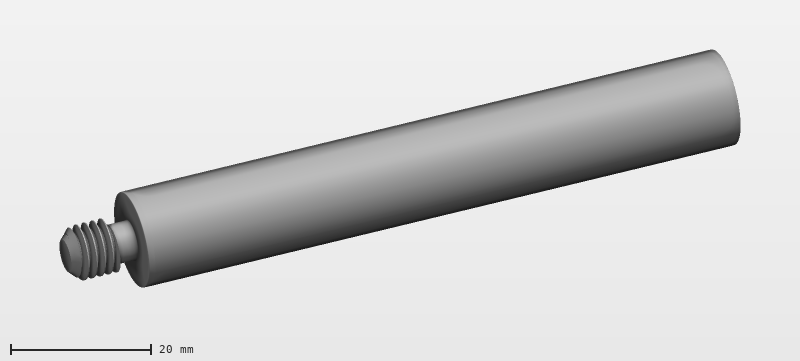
import cadquery as cq
import math

body_diameter = 14.0
body_length = 90.0
blend_length = 1.0
corner_weight = 3

stud_length = 10.0
neck_radius = 2.9
neck_length = 3.1
tip_radius = 2.4

thread_radius = 4.0
thread_pitch = 1.25
root_radius = 2.95
crest_width = thread_pitch / 8
flank_half_angle = 25.0
groove_start = 2.32
groove_turns = 7
cutter_overlap = 0.05


def tight_blend(corner, end):
    """Bezier points, after the start, of a smooth blend that stays close to the corner."""
    return [corner] * corner_weight + [end]


def make_body():
    """Plain round post with tight rims, running from the stud shoulder to +Y."""
    radius = body_diameter / 2
    far_corner = (radius, -body_length)
    near_corner = (radius, 0)
    return (
        cq.Workplane("XZ")
        .moveTo(0, -body_length)
        .lineTo(radius - blend_length, -body_length)
        .bezier(tight_blend(far_corner, (radius, blend_length - body_length)), includeCurrent=True)
        .lineTo(radius, -blend_length)
        .bezier(tight_blend(near_corner, (radius - blend_length, 0)), includeCurrent=True)
        .lineTo(0, 0)
        .close()
        .revolve(360, (0, 0, 0), (0, 1, 0))
    )


def make_stud_blank():
    """Unthreaded stud: blended, undercut neck, full-diameter shank and 45 degree tip chamfer."""
    tip_chamfer = thread_radius - tip_radius
    return (
        cq.Workplane("YZ")
        .lineTo(neck_radius + blend_length, 0)
        .bezier(tight_blend((neck_radius, 0), (neck_radius, blend_length)), includeCurrent=True)
        .lineTo(neck_radius, neck_length)
        .lineTo(thread_radius, neck_length)
        .lineTo(thread_radius, stud_length - tip_chamfer)
        .lineTo(tip_radius, stud_length)
        .lineTo(0, stud_length)
        .close()
        .revolve(360, (0, 0, 0), (0, 1, 0))
    )


def make_thread_groove():
    """Helical V cutter with a flat root; it starts and ends clear of the shank."""
    flank_slope = math.tan(math.radians(flank_half_angle))
    crest_half_gap = (thread_pitch - crest_width) / 2
    root_half_width = crest_half_gap - (thread_radius - root_radius) * flank_slope
    outer_radius = thread_radius + cutter_overlap
    outer_half_width = crest_half_gap + cutter_overlap * flank_slope
    section = [
        (root_radius, groove_start - root_half_width),
        (outer_radius, groove_start - outer_half_width),
        (outer_radius, groove_start + outer_half_width),
        (root_radius, groove_start + root_half_width),
    ]
    helix = cq.Wire.makeHelix(
        thread_pitch,
        thread_pitch * groove_turns,
        root_radius,
        center=cq.Vector(0, 0, groove_start),
        lefthand=True,
    )
    return cq.Workplane("XZ").polyline(section).close().sweep(cq.Workplane(helix), isFrenet=True)


stud = make_stud_blank().cut(make_thread_groove())
result = make_body().union(stud).rotate((0, 0, 0), (1, 0, 0), 90)